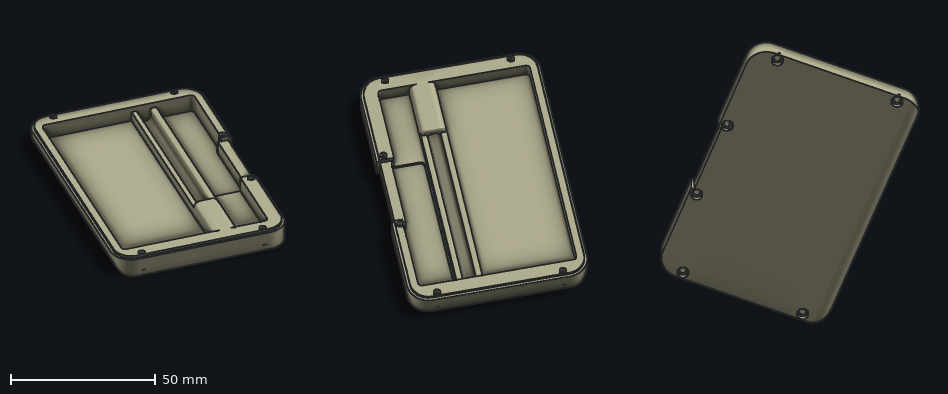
import cadquery as cq
length = 94.0
width = 63.5
height = 7.9
corner_radius = 7.5
front_round_radius = 5.0

lip_height = 0.9
lip_inset = 1.0

pocket_half_length = 41.0
pocket_front_y = -28.0
pocket_back_y = 25.65
pocket_corner_radius = 1.5
pocket_floor_z = 2.2

deep_corner_radius = 1.5
deep_floor_z = 1.2
deep_front_y = 15.05
deep_back_y = 28.0

notch_half_length = 12.8
notch_floor_z = 6.2
notch_inner_y = 26.77
notch_outer_y = 30.55

rib_y = 9.8
rib_width = 9.2
rib_round_radius = 2.4

cradle_end_x = 21.0
cradle_z = 5.85
step_fillet_radius = 1.0
lip_fillet_radius = 1.0
bore_radius = 2.6
bore_z = 3.41

screw_diameter = 2.4
head_diameter = 4.0
head_depth = 2.0
side_screw_x = 44.7
side_screw_y = 22.25
back_screw_x = 14.5
back_screw_y = 29.0
screw_positions = [
    (-side_screw_x, -side_screw_y),
    (-side_screw_x, side_screw_y),
    (side_screw_x, -side_screw_y),
    (side_screw_x, side_screw_y),
    (-back_screw_x, back_screw_y),
    (back_screw_x, back_screw_y),
]


def block(x_range, y_range, z_range):
    """Box spanning the given (low, high) ranges."""
    sizes = [high - low for low, high in (x_range, y_range, z_range)]
    corner = (x_range[0], y_range[0], z_range[0])
    return cq.Workplane("XY").box(*sizes, centered=False).translate(corner)


def make_body():
    """Rounded slab with a rounded lower front edge and a stepped-in lip on top."""
    shoulder_z = height - lip_height
    body = cq.Workplane("XY").box(length, width, shoulder_z, centered=(True, True, False))
    body = body.edges("<Y and <Z").fillet(front_round_radius)
    outline = cq.Workplane("XY").box(length, width, shoulder_z, centered=(True, True, False))
    body = body.intersect(outline.edges("|Z").fillet(corner_radius))
    lip = (
        cq.Workplane("XY", origin=(0, 0, shoulder_z))
        .box(length - 2 * lip_inset, width - 2 * lip_inset, lip_height, centered=(True, True, False))
        .edges("|Z")
        .fillet(corner_radius - lip_inset)
    )
    return body.union(lip)


def make_stylus_bore():
    """Cylinder along the whole rib, open at the top over the cradle and blind at both ends."""
    bore = cq.Workplane("YZ", origin=(-pocket_half_length, rib_y, bore_z))
    return bore.circle(bore_radius).extrude(2 * pocket_half_length)


def rib_edges(rib, x_range, y_reach, z_range):
    """Edges of the rib with their middle points inside a box centred on the rib's axis in Y."""
    low_corner = (x_range[0], rib_y - y_reach, z_range[0])
    high_corner = (x_range[1], rib_y + y_reach, z_range[1])
    return rib.edges(cq.selectors.BoxSelector(low_corner, high_corner))


def make_rib():
    """Round-topped rib with the lowered, grooved stylus cradle at its left end."""
    rib_front_y = rib_y - rib_width / 2
    rib_back_y = rib_y + rib_width / 2
    rib = block((-pocket_half_length, pocket_half_length), (rib_front_y, rib_back_y), (0, height))
    rib = rib.edges("|X and >Z").fillet(rib_round_radius)
    cradle_range = (-pocket_half_length, cradle_end_x)
    rib = rib.cut(block(cradle_range, (rib_front_y, rib_back_y), (cradle_z, height)))

    margin = 0.1
    at_step = (cradle_end_x - margin, cradle_end_x + margin)
    at_cradle = (cradle_z - margin, cradle_z + margin)
    step_top = (cradle_z + step_fillet_radius, height + margin)
    left_stretch = (-pocket_half_length + margin, 0)

    rib = rib.cut(make_stylus_bore())

    rib = rib_edges(rib, left_stretch, bore_radius, at_cradle).fillet(lip_fillet_radius)

    return rib_edges(rib, at_step, rib_width, step_top).fillet(step_fillet_radius)


def make_main_pocket():
    """Space removed for the main pocket, with the rib left standing."""
    pocket = block(
        (-pocket_half_length, pocket_half_length),
        (pocket_front_y, pocket_back_y),
        (pocket_floor_z, height),
    )
    return pocket.edges("|Z").fillet(pocket_corner_radius).cut(make_rib())


def make_deep_pocket():
    """Space removed for the deep pocket, whose back wall steps forward at the notch."""
    pocket = block(
        (-pocket_half_length, notch_half_length),
        (deep_front_y, deep_back_y),
        (deep_floor_z, height),
    )
    step = block(
        (-notch_half_length, notch_half_length),
        (notch_inner_y, deep_back_y),
        (deep_floor_z, height),
    )
    pocket = pocket.cut(step)
    return pocket.edges("|Z and (<X or >X)").fillet(deep_corner_radius)


def make_notch():
    """Space removed for the notch: the lowered back wall and the recess behind it."""
    notch_range = (-notch_half_length, notch_half_length)
    opening = block(notch_range, (pocket_back_y, width / 2), (notch_floor_z, height))
    recess = block(notch_range, (notch_outer_y, width / 2), (0, height))
    return opening.union(recess)


def cut_screw_holes(body):
    """Through holes with screw head counterbores in the bottom face."""
    shanks = cq.Workplane("XY").pushPoints(screw_positions).circle(screw_diameter / 2).extrude(height)
    heads = cq.Workplane("XY").pushPoints(screw_positions).circle(head_diameter / 2).extrude(head_depth)
    return body.cut(shanks).cut(heads)


body = make_body()
body = body.cut(make_main_pocket())
body = body.cut(make_deep_pocket())
body = body.cut(make_notch())
body = body.cut(make_stylus_bore())
result = cut_screw_holes(body)